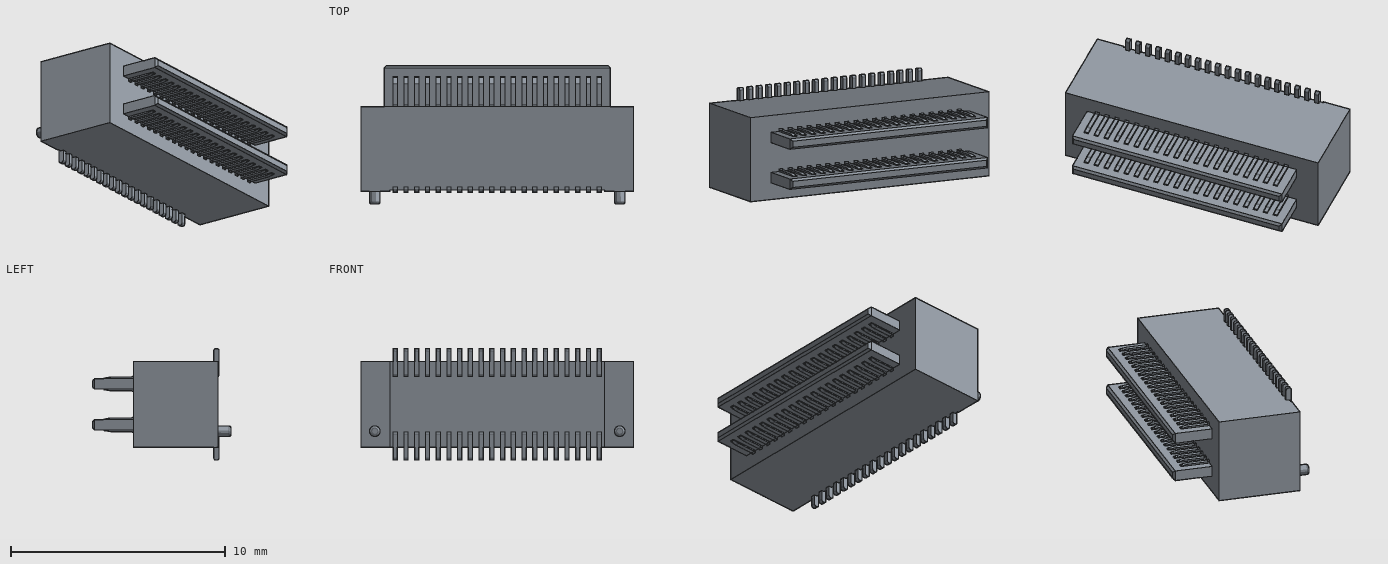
import cadquery as cq

body_length = 12.7
body_depth = 3.95
body_height = 4.0
end_pad_length = 1.35
recess_depth = 0.05

tongue_length = 10.53
tongue_reach = 1.9
tongue_thickness = 0.5
tongue_offset = 0.95
tongue_chamfer = 0.1

contact_count = 20
contact_row_length = 9.5
contact_width = 0.2

strip_tip_gap = 0.51
strip_ramp_length = 0.35
strip_rise = 0.08
strip_nose_length = 0.04
strip_nose_rise = 0.03
strip_ease_length = 0.04
strip_flare_length = 0.08
strip_flare_rise = 0.05

foot_span = 5.2
foot_length = 1.31
foot_thickness = 0.25
foot_proud = 0.045
foot_round = 0.1

peg_diameter = 0.5
peg_reach = 0.6
peg_round = 0.1
peg_end_inset = 0.65
peg_base_inset = 0.75

tongue_tip_y = body_depth + tongue_reach
contact_pitch = contact_row_length / (contact_count - 1)
contact_positions = [
    i * contact_pitch - contact_row_length / 2 for i in range(contact_count)
]


def make_body():
    block = cq.Workplane("XY").box(
        body_length, body_depth, body_height, centered=(True, False, True)
    )
    recess_length = body_length - 2 * end_pad_length
    recess = cq.Workplane("XY").box(
        recess_length, recess_depth, body_height, centered=(True, False, True)
    )
    return block.cut(recess)


def make_tongue(center_z):
    return (
        cq.Workplane("XY")
        .box(tongue_length, tongue_reach, tongue_thickness, centered=(True, False, True))
        .faces(">Y")
        .chamfer(tongue_chamfer)
        .translate((0, body_depth, center_z))
    )


def make_contact_strip(center_x, center_z):
    """One strip wrapping both tongue faces: nosed and ramped at the tip, flared at the housing."""
    tongue_face = tongue_thickness / 2
    strip_face = tongue_face + strip_rise
    flare_face = strip_face + strip_flare_rise
    tip_y = tongue_tip_y - strip_tip_gap
    nose_y = tip_y - strip_nose_length
    ramp_end_y = tip_y - strip_ramp_length
    nose_face = tongue_face + strip_nose_rise
    ramp_slope = (strip_face - nose_face) / (nose_y - ramp_end_y)
    ease_drop = strip_ease_length * ramp_slope / 2
    upper_edge = [
        (body_depth, flare_face),
        (body_depth + strip_flare_length, strip_face),
        (ramp_end_y, strip_face),
        (ramp_end_y + strip_ease_length, strip_face - ease_drop),
        (nose_y, nose_face),
        (tip_y, tongue_face),
    ]
    lower_edge = [(y, -z) for y, z in reversed(upper_edge)]
    return (
        cq.Workplane("YZ")
        .polyline(upper_edge + lower_edge)
        .close()
        .extrude(contact_width / 2, both=True)
        .translate((center_x, 0, center_z))
    )


def make_foot(center_x, side):
    """A flat foot, round at its tip and at its bend; side +1 is the upper row, -1 the lower."""
    center_z = side * (foot_span - foot_length) / 2
    tip_face, bend_face = (">Z", "<Z") if side > 0 else ("<Z", ">Z")
    return (
        cq.Workplane("XY")
        .box(contact_width, foot_thickness, foot_length, centered=(True, False, True))
        .faces(tip_face)
        .edges("|X")
        .fillet(foot_round)
        .faces(bend_face)
        .edges("<Y")
        .fillet(foot_round)
        .translate((center_x, -foot_proud, center_z))
    )


def make_peg(side):
    center_x = side * (body_length / 2 - peg_end_inset)
    center_z = peg_base_inset - body_height / 2
    return (
        cq.Workplane("XZ")
        .circle(peg_diameter / 2)
        .extrude(peg_reach)
        .edges("<Y")
        .fillet(peg_round)
        .translate((center_x, 0, center_z))
    )


attachments = []
for side in (-1, 1):
    tongue_z = side * tongue_offset
    attachments += [make_tongue(tongue_z), make_peg(side)]
    for contact_x in contact_positions:
        attachments += [make_contact_strip(contact_x, tongue_z), make_foot(contact_x, side)]

housing = make_body().val()
merged = housing.fuse(*[part.val() for part in attachments]).clean()
result = cq.Workplane("XY").newObject(merged.Solids())